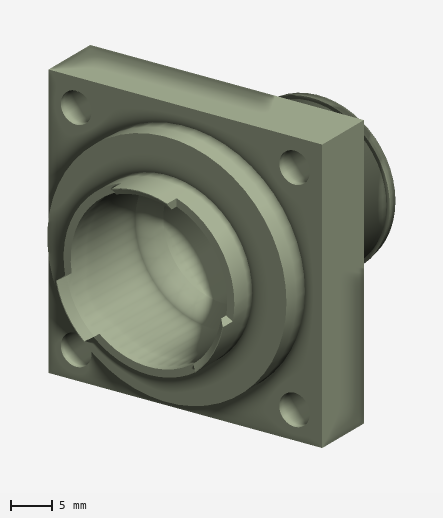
import cadquery as cq

plate_side = 40.0
plate_thickness = 8.9
hole_diameter = 4.5
hole_spacing = 31.9

boss_radius = 17.5
boss_length = 3.95
collar_radius = 12.5
collar_length = 3.85
tab_length = 2.0
tab_width = 8.1
tab_count = 3
tab_chamfer = 0.9

tube_radius = 11.0
tube_length = 20.0
root_fillet = 2.0
lip_radius = 11.5
lip_nose_radius = 11.3
lip_land = 0.3
lip_length = 2.0
lip_rounding = 0.7

front_bore_radius = 11.45
throat_radius = 9.0
cone_start = 6.0
cone_length = front_bore_radius - throat_radius

boss_front = -boss_length
collar_front = boss_front - collar_length
tab_front = collar_front - tab_length
tube_rear = plate_thickness + tube_length


def cylinder(radius, y_start, y_end):
    """Solid cylinder about the Y axis."""
    return cq.Workplane("XZ", origin=(0, y_start, 0)).circle(radius).extrude(y_start - y_end)


def flange():
    """Square plate with the front boss and collar."""
    plate = cq.Workplane("XY").box(plate_side, plate_thickness, plate_side, centered=(True, False, True))
    boss = cylinder(boss_radius, boss_front, 0)
    collar = cylinder(collar_radius, collar_front, 0)
    return plate.union(boss).union(collar)


def hose_tube():
    """Tube flared into the plate and ending in a tapered, rounded lip."""
    root_end = plate_thickness + root_fillet
    flare_radius = tube_radius + root_fillet
    arc_inset = root_fillet * (1 - 0.5 ** 0.5)
    lip_start = tube_rear - lip_length
    rim_inset = lip_rounding * (1 - 0.5 ** 0.5)
    profile = (
        cq.Workplane("XY")
        .moveTo(0, plate_thickness)
        .lineTo(flare_radius, plate_thickness)
        .threePointArc(
            (tube_radius + arc_inset, plate_thickness + arc_inset),
            (tube_radius, root_end),
        )
        .lineTo(tube_radius, lip_start)
        .lineTo(lip_radius, lip_start)
        .lineTo(lip_radius, lip_start + lip_land)
        .lineTo(lip_nose_radius, tube_rear - lip_rounding)
        .threePointArc(
            (lip_nose_radius - rim_inset, tube_rear - rim_inset),
            (lip_nose_radius - lip_rounding, tube_rear),
        )
        .lineTo(0, tube_rear)
        .close()
    )
    return profile.revolve(360, (0, 0, 0), (0, 1, 0))


def locking_tabs():
    """Parallel-sided tabs on the collar rim, spaced evenly from the top."""
    ring = cylinder(collar_radius, tab_front, collar_front)
    tabs = cq.Workplane("XY")
    for index in range(tab_count):
        sector = (
            cq.Workplane("XY")
            .box(tab_width, tab_length, collar_radius, centered=(True, False, False))
            .translate((0, tab_front, 0))
            .rotate((0, 0, 0), (0, 1, 0), index * 360 / tab_count)
        )
        tabs = tabs.add(ring.intersect(sector))
    return tabs.combine()


def bore():
    """Through opening with the chamfered mouth and the 45 degree inner cone."""
    return (
        cq.Workplane("XY")
        .moveTo(0, tab_front)
        .lineTo(front_bore_radius + tab_chamfer, tab_front)
        .lineTo(front_bore_radius, tab_front + tab_chamfer)
        .lineTo(front_bore_radius, cone_start)
        .lineTo(throat_radius, cone_start + cone_length)
        .lineTo(throat_radius, tube_rear)
        .lineTo(0, tube_rear)
        .close()
        .revolve(360, (0, 0, 0), (0, 1, 0))
    )


def bolt_holes():
    """Four corner holes through the plate."""
    return (
        cq.Workplane("XZ")
        .rect(hole_spacing, hole_spacing, forConstruction=True)
        .vertices()
        .circle(hole_diameter / 2)
        .extrude(-plate_thickness)
    )


result = flange().union(hose_tube()).union(locking_tabs()).cut(bore()).cut(bolt_holes())